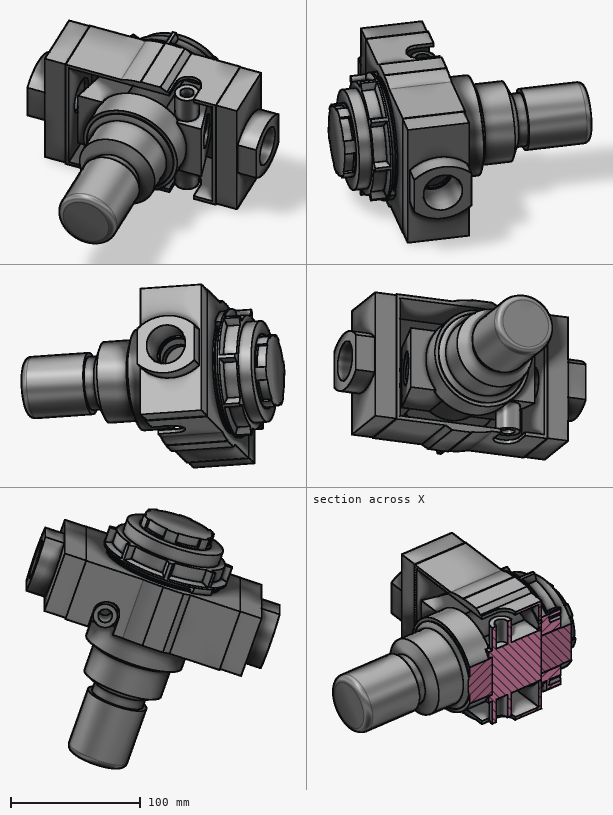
import cadquery as cq
import math


housing_half_x = 62.6
housing_half_z = 50.8
housing_front = -25.0
housing_back = 24.2
wall = 3.0
cavity_back = housing_back - wall
swelling_half_height = 53.88
swelling_arc_radius = 53.4
swelling_flat_end = 16.5
swelling_slope_end = 22.0
wall_port_radius = 14.0

bayonet_radius = 42.0
bayonet_notch_radius = 47.7
core_lug_radius = 46.3
lug_half_width = 9.8
lug_root_radius = 39.4
lug_angle = 50
lug_count = 2

end_block_outer_x = 80.0
end_block_half_y = 24.2
end_block_half_z = 50.2
port_end_x = 95.3
port_half_y = 22.7
port_corner_z = 14.2
port_top_z = 22.9
port_bore_radius = 15.4

core_front_half_x = 51.5
core_back_half_x = 39.8
core_half_z = 24.0
core_front = -26.8
core_radius = 29.4
core_port_y = -1.5
core_port_radius = 13.2
core_port_floor_x = 40.4
tube_x = 34.0
tube_y = -14.0
tube_radius = 9.35
tube_bore_radius = 5.3
tube_half_length = 45.3
tube_bore_depth = tube_half_length - core_half_z
tube_slot_y = -11.2
tube_slot_radius = 10.0

bonnet_back = -23.5
bonnet_rim_y = -45.3
bonnet_step_y = -46.0
bonnet_cone_y = -48.5
bonnet_shoulder_y = -72.0
neck_start_y = -77.2
bonnet_radius = 39.0
bonnet_step_radius = 36.0
bonnet_nose_radius = 31.3
neck_radius = 20.7

knob_back = -85.0
knob_front = -135.1
knob_radius = 23.8
knob_fillet = 5.0

nut_back = 42.85
nut_front = 29.0
nut_radius = 49.75
nut_pocket_radius = 44.1
nut_rim_y = 30.5
nut_pocket_y = 32.5
nut_pocket_count = 8
nut_pocket_inner_x = 40.5
nut_pocket_inner_half_width = 12.6
nut_pocket_outer_x = 50.8
nut_pocket_outer_half_width = 21.5
nut_lug_radius = 49.6
collar_radius = 44.1
collar_step_y = 25.6
collar_flange_radius = 46.0

plug_radius = 39.0
plug_shoulder_y = 53.0
plug_back = 61.9
cap_radius = 28.86
cap_pocket_radius = 27.09
cap_rim_y = 53.8
cap_pocket_y = 54.8
cap_pocket_count = 6
cap_pocket_half_angle = 19.8
cap_pocket_inner_x = 24.6
cap_pocket_outer_x = 29.5
cap_pocket_first_angle = 11.0


def section_at(y):
    """Workplane across the regulator axis: local X is X, local Y is Z, and negative extrusions go to +Y."""
    return cq.Workplane(cq.Plane(origin=(0, y, 0), xDir=(1, 0, 0), normal=(0, -1, 0)))


def disc(radius, y_start, y_end):
    return section_at(y_start).circle(radius).extrude(y_start - y_end)


def turned(profile):
    """Solid of revolution about Y from (radius, y) points in falling y; the axis closes the profile."""
    points = [(0, profile[0][1])] + profile + [(0, profile[-1][1])]
    return cq.Workplane("XY").polyline(points).close().revolve(360, (0, 0, 0), (0, 1, 0))


def about_axis(solid, angle):
    """Turn a solid about Y by an angle that runs from +X towards +Z."""
    return solid.rotate((0, 0, 0), (0, 1, 0), -angle)


def radial_bar(inner_x, inner_half_width, outer_x, outer_half_width, y_start, y_end):
    """Bar pointing along +X whose width changes evenly between its two ends."""
    outline = [
        (inner_x, -inner_half_width),
        (outer_x, -outer_half_width),
        (outer_x, outer_half_width),
        (inner_x, inner_half_width),
    ]
    return section_at(y_start).polyline(outline).close().extrude(y_start - y_end)


def cut_grip_pockets(body, pocket, floor_radius, rim_radius, rim_y, floor_y, back_y, count):
    """Cut pockets around a disc; each has a round floor and a front end that slopes up to the rim."""
    core = turned([(floor_radius, back_y), (floor_radius, floor_y), (rim_radius, rim_y)])
    pocket = pocket.cut(core)
    for i in range(count):
        body = body.cut(about_axis(pocket, i * 360 / count))
    return body


def add_lugs(body, lug_radius, y_start, y_end):
    """Add the parallel-sided bayonet lugs to a round body."""
    lug = radial_bar(lug_root_radius, lug_half_width, lug_radius, lug_half_width, y_start, y_end)
    lug = lug.intersect(disc(lug_radius, y_start, y_end))
    for i in range(lug_count):
        body = body.union(about_axis(lug, lug_angle + i * 360 / lug_count))
    return body


def lugged_disc(radius, lug_radius, y_start, y_end):
    return add_lugs(disc(radius, y_start, y_end), lug_radius, y_start, y_end)


def centred_box(half_x, y_start, y_end, half_z):
    return section_at(y_start).rect(2 * half_x, 2 * half_z).extrude(y_start - y_end)


def make_swelling():
    """Top swelling: an arc about the axis, a small step up to a flat, and a slope down again."""
    arc_start_x = -math.sqrt(swelling_arc_radius**2 - housing_half_z**2)
    arc_middle_x = arc_start_x / 2
    arc_middle_z = math.sqrt(swelling_arc_radius**2 - arc_middle_x**2)
    return (
        section_at(housing_front)
        .moveTo(arc_start_x, housing_half_z)
        .threePointArc((arc_middle_x, arc_middle_z), (0, swelling_arc_radius))
        .lineTo(0, swelling_half_height)
        .lineTo(swelling_flat_end, swelling_half_height)
        .lineTo(swelling_slope_end, housing_half_z)
        .lineTo(swelling_slope_end, housing_half_z - wall)
        .lineTo(arc_start_x, housing_half_z - wall)
        .close()
        .extrude(housing_front - housing_back)
    )


def make_housing():
    body = centred_box(housing_half_x, housing_front, housing_back, housing_half_z)
    swelling = make_swelling()
    body = body.union(swelling).union(about_axis(swelling, 180))
    body = body.cut(
        centred_box(housing_half_x - wall, housing_front, cavity_back, housing_half_z - wall)
    )
    body = body.cut(lugged_disc(bayonet_radius, bayonet_notch_radius, cavity_back, housing_back))
    wall_ports = cq.Workplane("YZ").circle(wall_port_radius).extrude(housing_half_x, both=True)
    body = body.cut(wall_ports)
    slot_length = tube_slot_y - housing_front
    slot = (
        cq.Workplane("XY")
        .center(tube_x, tube_slot_y)
        .circle(tube_slot_radius)
        .extrude(swelling_half_height, both=True)
        .union(
            cq.Workplane("XY")
            .center(tube_x, tube_slot_y - slot_length / 2)
            .rect(2 * tube_slot_radius, slot_length)
            .extrude(swelling_half_height, both=True)
        )
    )
    return body.cut(slot)


def make_end_block(side):
    """End block with a flatted pipe port; side is +1 for +X and -1 for -X."""
    block = (
        cq.Workplane("YZ", origin=(housing_half_x, 0, 0))
        .rect(2 * end_block_half_y, 2 * end_block_half_z)
        .extrude(end_block_outer_x - housing_half_x)
    )
    port = (
        cq.Workplane("YZ", origin=(end_block_outer_x, 0, 0))
        .moveTo(-port_half_y, -port_corner_z)
        .lineTo(-port_half_y, port_corner_z)
        .threePointArc((0, port_top_z), (port_half_y, port_corner_z))
        .lineTo(port_half_y, -port_corner_z)
        .threePointArc((0, -port_top_z), (-port_half_y, -port_corner_z))
        .close()
        .extrude(port_end_x - end_block_outer_x)
    )
    bore = cq.Workplane("YZ").circle(port_bore_radius).extrude(port_end_x)
    block = block.union(port).cut(bore)
    return block if side > 0 else block.mirror("YZ")


def make_core():
    body = (
        cq.Workplane("XY")
        .polyline([
            (-core_front_half_x, core_front),
            (core_front_half_x, core_front),
            (core_back_half_x, cavity_back),
            (-core_back_half_x, cavity_back),
        ])
        .close()
        .extrude(core_half_z, both=True)
    )
    body = body.union(disc(core_radius, bonnet_back, cavity_back))
    body = body.union(lugged_disc(bayonet_radius, core_lug_radius, cavity_back, housing_back))
    tube = (
        cq.Workplane("XY").center(tube_x, tube_y).circle(tube_radius)
        .extrude(tube_half_length, both=True)
    )
    body = body.union(tube)
    body = body.cut(disc(bonnet_radius, core_front, bonnet_back))
    tube_bore = (
        cq.Workplane("XY", origin=(tube_x, tube_y, tube_half_length - tube_bore_depth))
        .circle(tube_bore_radius).extrude(tube_bore_depth)
    )
    body = body.cut(tube_bore).cut(tube_bore.mirror("XY"))
    port = (
        cq.Workplane("YZ", origin=(core_port_floor_x, core_port_y, 0))
        .circle(core_port_radius)
        .extrude(core_front_half_x - core_port_floor_x)
    )
    return body.cut(port).cut(port.mirror("YZ"))


def make_bonnet():
    return turned([
        (bonnet_radius, bonnet_back),
        (bonnet_radius, bonnet_rim_y),
        (bonnet_step_radius, bonnet_rim_y),
        (bonnet_step_radius, bonnet_step_y),
        (bonnet_nose_radius, bonnet_cone_y),
        (bonnet_nose_radius, bonnet_shoulder_y),
        (neck_radius, neck_start_y),
        (neck_radius, knob_back),
    ])


def make_knob():
    return disc(knob_radius, knob_front, knob_back).faces("<Y").edges().fillet(knob_fillet)


def make_ring_nut():
    pocket = radial_bar(
        nut_pocket_inner_x, nut_pocket_inner_half_width,
        nut_pocket_outer_x, nut_pocket_outer_half_width, nut_rim_y, nut_back,
    )
    pocket = about_axis(pocket, 180 / nut_pocket_count)
    body = cut_grip_pockets(
        disc(nut_radius, nut_front, nut_back), pocket, nut_pocket_radius, nut_radius,
        nut_rim_y, nut_pocket_y, nut_back, nut_pocket_count,
    )
    collar = disc(collar_radius, housing_back, nut_front)
    flange = disc(collar_flange_radius, housing_back, collar_step_y)
    body = body.union(add_lugs(collar.union(flange), nut_lug_radius, housing_back, nut_front))
    return body.cut(disc(plug_radius, housing_back, nut_back))


def make_plug():
    side_slope = math.tan(math.radians(cap_pocket_half_angle))
    pocket = radial_bar(
        cap_pocket_inner_x, cap_pocket_inner_x * side_slope,
        cap_pocket_outer_x, cap_pocket_outer_x * side_slope, cap_rim_y, plug_back,
    )
    pocket = about_axis(pocket, cap_pocket_first_angle)
    cap = cut_grip_pockets(
        disc(cap_radius, plug_shoulder_y, plug_back), pocket, cap_pocket_radius, cap_radius,
        cap_rim_y, cap_pocket_y, plug_back, cap_pocket_count,
    )
    return disc(plug_radius, housing_back, plug_shoulder_y).union(cap)


housing = make_housing()
end_blocks = [make_end_block(side) for side in (-1, 1)]
core = make_core()
bonnet = make_bonnet()
knob = make_knob()
ring_nut = make_ring_nut()
plug = make_plug()

result = cq.Compound.makeCompound([
    housing.val(),
    *[block.val() for block in end_blocks],
    core.val(),
    bonnet.val(),
    knob.val(),
    ring_nut.val(),
    plug.val(),
])